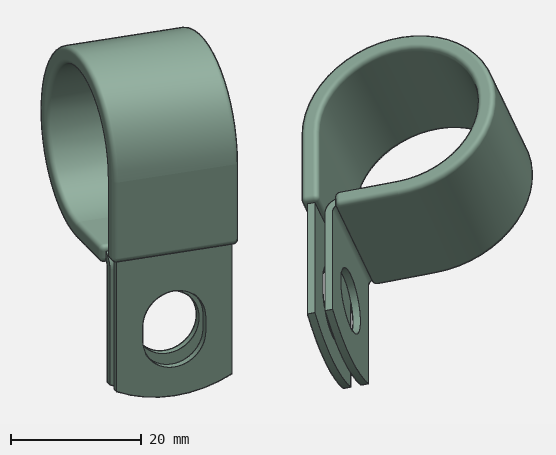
import cadquery as cq
import math


outer_diameter = 31.0
cushion_thickness = 2.8
cushion_width = 20.65
edge_radius = 0.8
lower_arm_length = 10.15
side_arm_length = 13.45

overall_height = 52.8
strap_thickness = cushion_thickness - 2 * edge_radius
strap_width = 18.95
bend_start_x = 9.45
tip_rise = 2.15
hole_diameter = 10.35
hole_above_tip = 11.15
slot_height = 12.65

outer_radius = outer_diameter / 2
inner_radius = outer_radius - cushion_thickness
strap_outer_radius = outer_radius - edge_radius
strap_inner_radius = inner_radius + edge_radius
tip_z = outer_radius - overall_height
bend_inner_radius = strap_thickness
bend_outer_radius = bend_inner_radius + strap_thickness
bent_tab_outer_x = bend_start_x + bend_outer_radius
embed_depth = strap_thickness


def make_cushion():
    """Three-quarter ring with two straight tangent arms, rounded all over."""
    diagonal = math.sqrt(0.5)
    profile = (
        cq.Workplane("XZ")
        .moveTo(lower_arm_length, -outer_radius)
        .lineTo(0, -outer_radius)
        .threePointArc((-outer_radius * diagonal, outer_radius * diagonal), (outer_radius, 0))
        .lineTo(outer_radius, -side_arm_length)
        .lineTo(inner_radius, -side_arm_length)
        .lineTo(inner_radius, 0)
        .threePointArc((-inner_radius * diagonal, inner_radius * diagonal), (0, -inner_radius))
        .lineTo(lower_arm_length, -inner_radius)
        .close()
    )
    return profile.extrude(cushion_width / 2, both=True).edges().fillet(edge_radius)


def make_bent_tab():
    """Strap leaving the lower arm and bending down."""
    bend_center_z = -strap_inner_radius - bend_outer_radius
    profile = (
        cq.Workplane("XZ")
        .moveTo(bend_start_x - embed_depth, -strap_inner_radius)
        .lineTo(bend_start_x, -strap_inner_radius)
        .radiusArc((bent_tab_outer_x, bend_center_z), bend_outer_radius)
        .lineTo(bent_tab_outer_x, tip_z)
        .lineTo(bent_tab_outer_x - strap_thickness, tip_z)
        .lineTo(bent_tab_outer_x - strap_thickness, bend_center_z)
        .radiusArc((bend_start_x, -strap_outer_radius), -bend_inner_radius)
        .lineTo(bend_start_x - embed_depth, -strap_outer_radius)
        .close()
    )
    return profile.extrude(strap_width / 2, both=True)


def make_straight_tab():
    """Strap continuing straight down from the side arm."""
    tab_top_z = embed_depth - side_arm_length
    return cq.Workplane("XY").box(
        strap_thickness, strap_width, tab_top_z - tip_z, centered=(False, True, False)
    ).translate((strap_inner_radius, 0, tip_z))


def make_tab_outline():
    """Solid through both tabs with the curved tip."""
    half_width = strap_width / 2
    corner_z = tip_z + tip_rise
    return (
        cq.Workplane("YZ")
        .moveTo(-half_width, 0)
        .lineTo(-half_width, corner_z)
        .threePointArc((0, tip_z), (half_width, corner_z))
        .lineTo(half_width, 0)
        .close()
        .extrude(outer_radius)
    )


def make_bolt_opening(height):
    """Upright opening along X; taller than the hole diameter makes it a slot."""
    opening = cq.Workplane("YZ").center(0, tip_z + hole_above_tip)
    if height > hole_diameter:
        opening = opening.slot2D(height, hole_diameter, 90)
    else:
        opening = opening.circle(hole_diameter / 2)
    return opening.extrude(outer_radius)


tab_outline = make_tab_outline()
bent_tab = make_bent_tab().intersect(tab_outline).cut(make_bolt_opening(hole_diameter))
straight_tab = make_straight_tab().intersect(tab_outline).cut(make_bolt_opening(slot_height))
result = make_cushion().union(bent_tab).union(straight_tab)